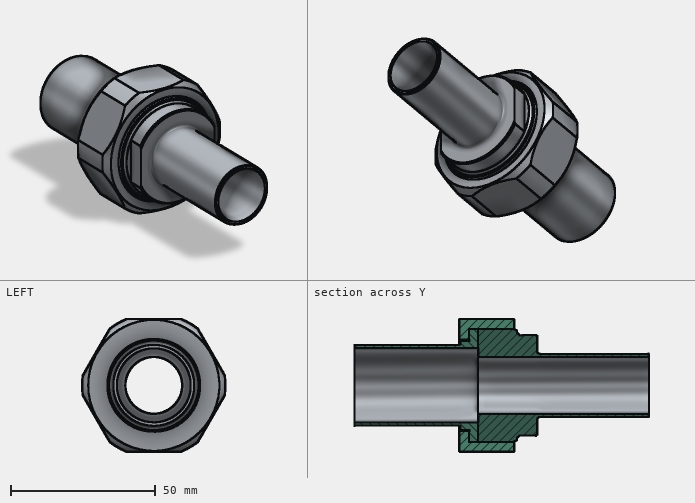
import cadquery as cq
import math

TOTAL_LENGTH = 102.0

NUT_START = 36.2
NUT_LENGTH = 19.2
NUT_END = NUT_START + NUT_LENGTH
NUT_ACROSS_FLATS = 46.0
NUT_CORNER_RADIUS = 49.7 / 2
NUT_CHAMFER = 2.1
NUT_LIP_THICKNESS = 3.6
NUT_LIP_END = NUT_START + NUT_LIP_THICKNESS
NUT_LIP_RADIUS = 31.5 / 2
NUT_LIP_CHAMFER = 0.3
NUT_BORE_RADIUS = 39.0 / 2

TAIL_RADIUS = 28.0 / 2
TAIL_BORE_RADIUS = 25.6 / 2
TAIL_COLLAR_RADIUS = 31.0 / 2
TAIL_COLLAR_RECESS = 0.5
TAIL_COLLAR_START = NUT_START + TAIL_COLLAR_RECESS
TAIL_FLANGE_THICKNESS = 3.1
TAIL_END = NUT_LIP_END + TAIL_FLANGE_THICKNESS

SHOULDER_LENGTH = 1.8
RIM_LENGTH = 0.9
RIM_END = NUT_END + RIM_LENGTH
RIM_RADIUS = 38.0 / 2
SHOULDER_END = NUT_END + SHOULDER_LENGTH
GRIP_LENGTH = 6.1
GRIP_END = SHOULDER_END + GRIP_LENGTH
GRIP_RADIUS = 17.4
SHOULDER_RADIUS = GRIP_RADIUS + SHOULDER_END - RIM_END
GRIP_ACROSS_FLATS = 31.0
GRIP_CHAMFER = 0.4
FLAT_SETBACK = 0.1
SPIGOT_RADIUS = 22.0 / 2
SPIGOT_END_CHAMFER = 0.3
BODY_BORE_RADIUS = 19.6 / 2

ROOT_FILLET = 0.9


def revolve_about_x(profile):
    """Turn a closed (x, radius) profile about the X axis."""
    return profile.close().revolve(360, (0, 0, 0), (1, 0, 0))


def make_nut():
    hexagon = (
        cq.Workplane("YZ", origin=(NUT_START, 0, 0))
        .polygon(6, NUT_ACROSS_FLATS / math.cos(math.pi / 6))
        .extrude(NUT_LENGTH)
    )
    envelope = (
        cq.Workplane("YZ", origin=(NUT_START, 0, 0))
        .circle(NUT_CORNER_RADIUS)
        .extrude(NUT_LENGTH)
        .faces("<X or >X")
        .chamfer(NUT_CHAMFER)
    )
    bore = revolve_about_x(
        cq.Workplane("XY")
        .moveTo(NUT_START, 0)
        .lineTo(NUT_START, NUT_LIP_RADIUS + NUT_LIP_CHAMFER)
        .lineTo(NUT_START + NUT_LIP_CHAMFER, NUT_LIP_RADIUS)
        .lineTo(NUT_LIP_END, NUT_LIP_RADIUS)
        .lineTo(NUT_LIP_END, NUT_BORE_RADIUS)
        .lineTo(NUT_END, NUT_BORE_RADIUS)
        .lineTo(NUT_END, 0)
    )
    return hexagon.intersect(envelope).cut(bore)


def make_tailpiece():
    return revolve_about_x(
        cq.Workplane("XY")
        .moveTo(0, TAIL_BORE_RADIUS)
        .lineTo(0, TAIL_RADIUS)
        .lineTo(TAIL_COLLAR_START - ROOT_FILLET, TAIL_RADIUS)
        .radiusArc((TAIL_COLLAR_START, TAIL_RADIUS + ROOT_FILLET), -ROOT_FILLET)
        .lineTo(TAIL_COLLAR_START, TAIL_COLLAR_RADIUS)
        .lineTo(NUT_LIP_END, TAIL_COLLAR_RADIUS)
        .lineTo(NUT_LIP_END, NUT_BORE_RADIUS)
        .lineTo(TAIL_END, NUT_BORE_RADIUS)
        .lineTo(TAIL_END, TAIL_BORE_RADIUS)
    )


def make_body():
    body = revolve_about_x(
        cq.Workplane("XY")
        .moveTo(TAIL_END, BODY_BORE_RADIUS)
        .lineTo(TAIL_END, NUT_BORE_RADIUS)
        .lineTo(NUT_END, NUT_BORE_RADIUS)
        .lineTo(RIM_END, RIM_RADIUS)
        .lineTo(RIM_END, SHOULDER_RADIUS)
        .lineTo(SHOULDER_END, GRIP_RADIUS)
        .lineTo(GRIP_END - GRIP_CHAMFER, GRIP_RADIUS)
        .lineTo(GRIP_END, GRIP_RADIUS - GRIP_CHAMFER)
        .lineTo(GRIP_END, SPIGOT_RADIUS + ROOT_FILLET)
        .radiusArc((GRIP_END + ROOT_FILLET, SPIGOT_RADIUS), -ROOT_FILLET)
        .lineTo(TOTAL_LENGTH - SPIGOT_END_CHAMFER, SPIGOT_RADIUS)
        .lineTo(TOTAL_LENGTH, SPIGOT_RADIUS - SPIGOT_END_CHAMFER)
        .lineTo(TOTAL_LENGTH, BODY_BORE_RADIUS)
    )
    flat_start = SHOULDER_END + FLAT_SETBACK
    for side in (-1, 1):
        flat_cutter = cq.Workplane("XY").box(
            GRIP_END - flat_start, GRIP_RADIUS, 2 * GRIP_RADIUS, centered=(False, True, True)
        )
        flat_center_y = side * (GRIP_ACROSS_FLATS + GRIP_RADIUS) / 2
        body = body.cut(flat_cutter.translate((flat_start, flat_center_y, 0)))
    return body


nut = make_nut()
tailpiece = make_tailpiece()
body = make_body()

result = cq.Compound.makeCompound([nut.val(), tailpiece.val(), body.val()])